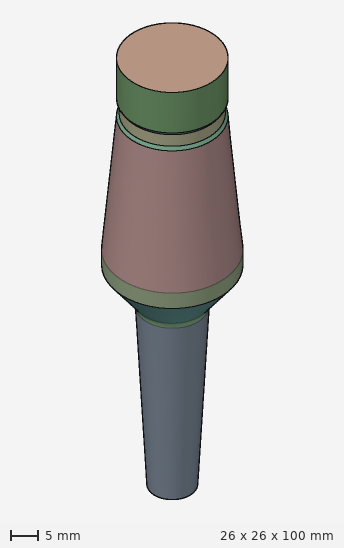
import cadquery as cq

tip_radius = 4.7
neck_radius = 6.85
body_radius = 13.0
head_radius = 10.25
groove_radius = 9.75

neck_height = 42.8
band_bottom = 51.5
band_top = 55.1
body_top = 86.3
groove_bottom = 87.0
groove_top = 89.7
head_bottom = 90.5
total_height = 100.0

neck_fillet_radius = 3.0


def half_profile():
    """Return the closed half section, with radius along X and height along Z."""
    return (
        cq.Workplane("XZ")
        .lineTo(tip_radius, 0)
        .lineTo(neck_radius, neck_height)
        .lineTo(body_radius, band_bottom)
        .lineTo(body_radius, band_top)
        .lineTo(head_radius, body_top)
        .lineTo(groove_radius, groove_bottom)
        .lineTo(groove_radius, groove_top)
        .lineTo(head_radius, head_bottom)
        .lineTo(head_radius, total_height)
        .lineTo(0, total_height)
        .close()
    )


def turned_body():
    """Return the half section revolved about Z."""
    return half_profile().revolve(360, (0, 0, 0), (0, 1, 0))


def round_neck(body):
    """Fillet the circular corner between the shank and the flare."""
    search_margin = 0.1
    search_half_width = body_radius + search_margin
    neck_zone = cq.selectors.BoxSelector(
        (-search_half_width, -search_half_width, neck_height - search_margin),
        (search_half_width, search_half_width, neck_height + search_margin),
    )
    return body.edges("%CIRCLE").edges(neck_zone).fillet(neck_fillet_radius)


result = round_neck(turned_body())